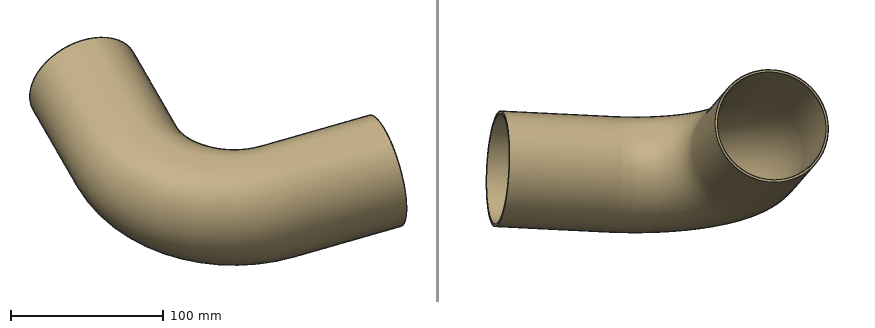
import cadquery as cq

outer_diameter = 76.2
inner_diameter = 73.0
overall_length = 190.5

bend_radius = outer_diameter
leg_length = overall_length - outer_diameter / 2 - bend_radius
bend_angle = 90.0


def pipe_ring(workplane):
    """Draw the annular pipe section on the given workplane."""
    return workplane.circle(outer_diameter / 2).circle(inner_diameter / 2)


bend = pipe_ring(cq.Workplane("YZ")).revolve(
    bend_angle, (bend_radius, 0, 0), (bend_radius, 1, 0)
)

inlet_leg = pipe_ring(cq.Workplane("YZ")).extrude(-leg_length)

outlet_plane = cq.Workplane("XZ", origin=(bend_radius, bend_radius, 0))
outlet_leg = pipe_ring(outlet_plane).extrude(-leg_length)

result = inlet_leg.union(bend).union(outlet_leg)